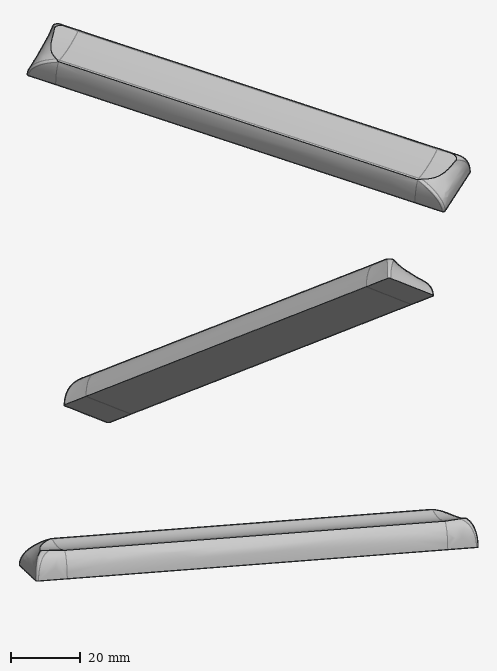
import cadquery as cq
import math

length = 132.4
width = 18.4
shell_height = 8.5

rear_inset = 4.4
front_inset = 3.3
rear_corner_inset = 2.5
front_corner_inset = 15.2
end_length = 9.3
base_corner_radius = 0.7
top_corner_radius = 2.0

dish_low_y = -1.0
dish_low_z = 6.9
rear_lip_y = 6.1
middle_rear_lip_z = 7.8
end_rear_lip_z = 8.3
front_lip_y = -6.6
front_lip_z = 7.7
cutter_margin = 2.6

outline_count = 7


def plan_outline(angle):
    """Plan outline at one angle of the quarter-ellipse side profile."""
    inward = 1 - math.cos(angle)
    rear_y = width / 2 - rear_inset * inward
    front_y = -width / 2 + front_inset * inward
    rear_x = length / 2 - rear_corner_inset * inward
    front_x = length / 2 - front_corner_inset * inward
    radius = base_corner_radius + (top_corner_radius - base_corner_radius) * inward
    corners = [(-front_x, front_y), (front_x, front_y), (rear_x, rear_y), (-rear_x, rear_y)]
    outline = cq.Sketch().polygon(corners + corners[:1]).vertices().fillet(radius)
    return outline.moved(cq.Location(cq.Vector(0, 0, shell_height * math.sin(angle))))


def rounded_body():
    """Body whose front corners slide inward to give slanted top ends."""
    angles = [math.pi / 2 * i / (outline_count - 1) for i in range(outline_count)]
    outlines = [plan_outline(angle) for angle in angles]
    return cq.Workplane().placeSketch(*outlines).loft()


def dish_profile(x, rear_lip_z):
    """Wire at station x bounding the material above the hollow."""
    return (
        cq.Workplane("YZ", origin=(x, 0, 0))
        .moveTo(width, rear_lip_z)
        .lineTo(rear_lip_y, rear_lip_z)
        .threePointArc((dish_low_y, dish_low_z), (front_lip_y, front_lip_z))
        .lineTo(-width, front_lip_z)
        .lineTo(-width, shell_height + cutter_margin)
        .lineTo(width, shell_height + cutter_margin)
        .close()
        .val()
    )


def dish_cutter():
    """Straight hollow in the middle, with the rear lip rising toward both ends."""
    seam_x = length / 2 - end_length
    stations = [
        (-length / 2, end_rear_lip_z),
        (-seam_x, middle_rear_lip_z),
        (seam_x, middle_rear_lip_z),
        (length / 2, end_rear_lip_z),
    ]
    profiles = [dish_profile(x, lip_z) for x, lip_z in stations]
    return cq.Workplane(cq.Solid.makeLoft(profiles, True))


def split_end_faces(body):
    """Mark where the end caps meet the straight middle of the bar."""
    middle_length = length - 2 * end_length
    middle_box = cq.Workplane().box(middle_length, 2 * width, 4 * shell_height)
    middle = body.intersect(middle_box)
    ends = body.cut(middle_box)
    return middle.union(ends, clean=False)


result = split_end_faces(rounded_body().cut(dish_cutter()))